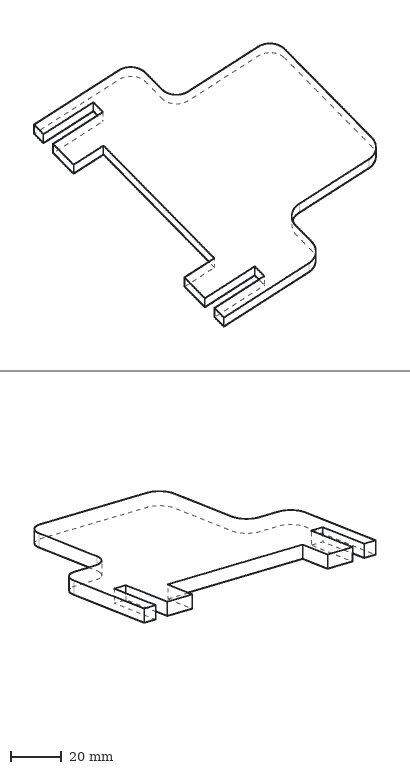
import cadquery as cq

base_width = 120.0
total_length = 100.0
thickness = 6.0
shoulder_y = 50.0
tongue_width = 70.0
corner_radius = 7.5

notch_width = tongue_width
notch_depth = 15.0
slot_width = 6.0
slot_depth = 25.0
prong_width = 6.0
slot_center_x = base_width / 2 - prong_width - slot_width / 2


def front_block(center_x, width, length):
    """Full-thickness block running back from the front edge."""
    return (
        cq.Workplane("XY")
        .center(center_x, length / 2)
        .rect(width, length)
        .extrude(thickness)
    )


def stepped_plate():
    """Wide base with a narrower tongue; all corners rounded except the two at the front edge."""
    base = front_block(0, base_width, shoulder_y)
    tongue = front_block(0, tongue_width, total_length)
    plate = base.union(tongue).clean()
    return plate.edges("|Z and (not <Y)").fillet(corner_radius)


def cut_front_edge(plate):
    """Central notch flanked by two narrow, deeper slots."""
    plate = plate.cut(front_block(0, notch_width, notch_depth))
    for side in (-1, 1):
        plate = plate.cut(front_block(side * slot_center_x, slot_width, slot_depth))
    return plate


result = cut_front_edge(stepped_plate())